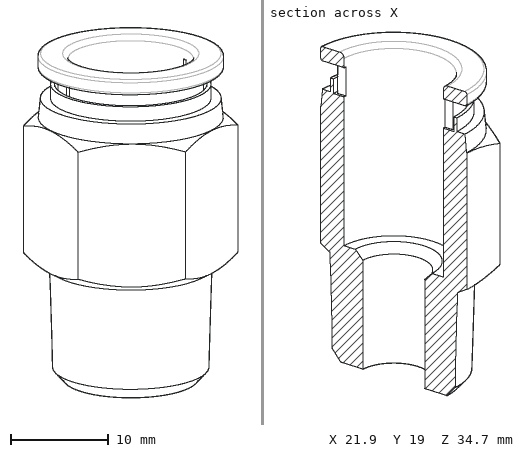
import cadquery as cq
import math

total_height = 34.7
thread_chamfer_top = 1.25
hex_bottom = 11.95
collar_bottom = 27.9
collar_top = 29.95
ring_top = 31.47
flange_bottom = 33.07

thread_end_radius = 6.9
thread_small_radius = 8.0
thread_large_radius = 8.33
collar_bottom_radius = 9.47
collar_top_radius = 9.25
ring_radius = 8.22
ring_bore_radius = 7.8
collet_radius = 7.45
flange_radius = 9.5
flange_fillet = 0.28

across_flats = 19.0
across_corners = across_flats / math.cos(math.radians(30))
hex_chamfer_slope = math.tan(math.radians(30))

tube_radius = 6.42
mouth_fillet = 0.55
tube_floor = 13.2
passage_radius = 4.0
passage_chamfer = 0.97

slit_width = 0.52
slit_bottom = 29.85


def revolve_profile(points):
    """Turn a closed (radius, height) outline around the Z axis."""
    return cq.Workplane("XZ").polyline(points).close().revolve(360, (0, 0, 0), (0, 1, 0))


def make_threaded_end():
    return revolve_profile([
        (0, 0),
        (thread_end_radius, 0),
        (thread_small_radius, thread_chamfer_top),
        (thread_large_radius, hex_bottom),
        (0, hex_bottom),
    ])


def make_hex():
    """Hexagon with its corners cut by a cone at both ends."""
    corner_radius = across_corners / 2
    lower_drop = (corner_radius - thread_large_radius) * hex_chamfer_slope
    upper_drop = (corner_radius - collar_bottom_radius) * hex_chamfer_slope
    prism = (
        cq.Workplane("XY")
        .workplane(offset=hex_bottom)
        .polygon(6, across_corners)
        .extrude(collar_bottom - hex_bottom)
    )
    envelope = revolve_profile([
        (0, hex_bottom),
        (thread_large_radius, hex_bottom),
        (corner_radius, hex_bottom + lower_drop),
        (corner_radius, collar_bottom - upper_drop),
        (collar_bottom_radius, collar_bottom),
        (0, collar_bottom),
    ])
    return prism.intersect(envelope)


def make_release_end():
    """Collar, ring, collet sleeve and push flange, with a narrow gap between ring and sleeve."""
    body = revolve_profile([
        (0, collar_bottom),
        (collar_bottom_radius, collar_bottom),
        (collar_top_radius, collar_top),
        (ring_radius, collar_top),
        (ring_radius, ring_top),
        (ring_bore_radius, ring_top),
        (ring_bore_radius, slit_bottom),
        (collet_radius, slit_bottom),
        (collet_radius, flange_bottom),
        (0, flange_bottom),
    ])
    flange = (
        cq.Workplane("XY")
        .workplane(offset=flange_bottom)
        .circle(flange_radius)
        .extrude(total_height - flange_bottom)
        .edges()
        .fillet(flange_fillet)
    )
    return body.union(flange)


def make_bore():
    """Tube socket with a rounded mouth, stepping down to the flow passage."""
    mouth_radius = tube_radius + mouth_fillet
    arc_reach = mouth_fillet * math.sin(math.radians(45))
    arc_middle = (mouth_radius - arc_reach, total_height - mouth_fillet + arc_reach)
    return (
        cq.Workplane("XZ")
        .lineTo(passage_radius, 0)
        .lineTo(passage_radius, tube_floor - passage_chamfer)
        .lineTo(passage_radius + passage_chamfer, tube_floor)
        .lineTo(tube_radius, tube_floor)
        .lineTo(tube_radius, total_height - mouth_fillet)
        .threePointArc(arc_middle, (mouth_radius, total_height))
        .lineTo(0, total_height)
        .close()
        .revolve(360, (0, 0, 0), (0, 1, 0))
    )


def make_slits():
    """Thin slot through both sides of the sleeve, kept inside its outer radius."""
    slit_height = flange_bottom - slit_bottom
    base = cq.Workplane("XY").workplane(offset=slit_bottom)
    slot = base.rect(slit_width, 2 * flange_radius).extrude(slit_height)
    sleeve = base.circle(collet_radius).extrude(slit_height)
    return slot.intersect(sleeve)


result = (
    make_threaded_end()
    .union(make_hex())
    .union(make_release_end())
    .cut(make_bore())
    .cut(make_slits())
)